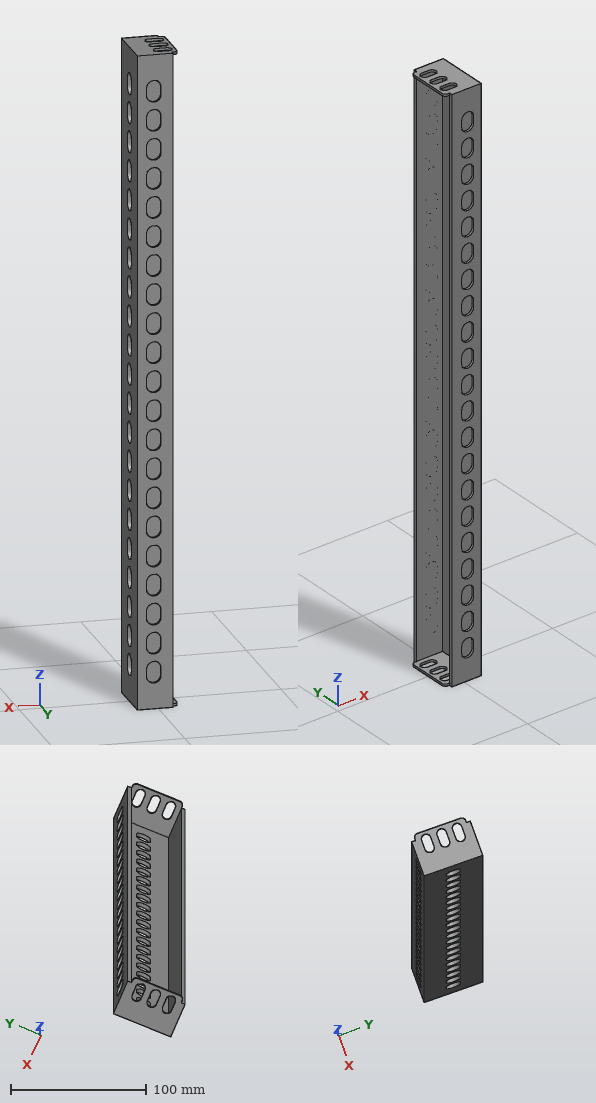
import cadquery as cq

depth = 32.0
width = 46.0
length = 506.0

wall = 3.0
cap_thickness = 2.0

cap_lip = 4.5
cap_corner_radius = 3.0

row_count = 21
row_end_margin = 28.5
row_slot_length = 16.5
row_slot_width = 11.0
flange_slot_inset = 12.5
flange_slot_depth = 2.0

cap_slot_count = 3
cap_slot_pitch = 12.0
cap_slot_length = 14.0
cap_slot_width = 7.0
cap_slot_inset = 9.5

front_x = -depth / 2
back_x = depth / 2
inner_width = width - 2 * wall
inner_length = length - 2 * cap_thickness
row_pitch = (length - 2 * row_end_margin) / (row_count - 1)


def block(x_start, x_end, y_size, z_size):
    """Box between two X positions, centred in Y and Z."""
    x_middle = (x_start + x_end) / 2
    return cq.Workplane("XY").box(x_end - x_start, y_size, z_size).translate((x_middle, 0, 0))


def make_shell():
    """Channel open towards -X, closed at both ends by caps set between the flanges."""
    channel = block(front_x + cap_lip, back_x, width, length)
    caps = block(front_x, back_x - wall, inner_width, length)
    caps = caps.edges("|Z and <X").fillet(cap_corner_radius)
    cavity = block(front_x, back_x - wall, inner_width, inner_length)
    return channel.union(caps).cut(cavity)


def slot_row(plane, origin, cut_depth):
    """Row of upright slots spaced along Z, extruded from the origin along the plane normal."""
    return (
        cq.Workplane(plane, origin=origin)
        .rarray(5, row_pitch, 1, row_count)
        .slot2D(row_slot_length, row_slot_width, 90)
        .extrude(cut_depth)
    )


def cap_slots():
    """Slots side by side along Y, cutting through both end caps."""
    return (
        cq.Workplane("XY", origin=(front_x + cap_slot_inset, 0, -length / 2))
        .rarray(5, cap_slot_pitch, 1, cap_slot_count)
        .slot2D(cap_slot_length, cap_slot_width)
        .extrude(length)
    )


result = make_shell().cut(cap_slots())

result = result.cut(slot_row("YZ", (back_x - wall, 0, 0), wall))

flange_slot_x = back_x - flange_slot_inset
front_slot_floor_y = -width / 2 + flange_slot_depth
rear_face_y = width / 2
for start_y in (front_slot_floor_y, rear_face_y):
    result = result.cut(slot_row("XZ", (flange_slot_x, start_y, 0), flange_slot_depth))